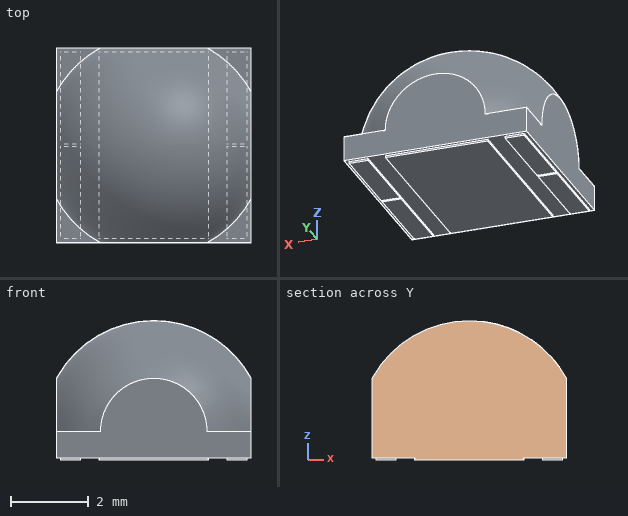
import cadquery as cq

side = 5.0
total_height = 3.58

pad_thickness = 0.05
substrate_thickness = 0.53
cover_thickness = 0.15

pad_length = 4.79
side_pad_width = 0.52
center_pad_width = 2.8
side_pad_slit = 0.06
side_pad_offset = (pad_length - side_pad_width) / 2

base_top = pad_thickness + substrate_thickness + cover_thickness
lens_radius = total_height - base_top


def block(width, length, thickness, bottom, x=0.0):
    """Rectangular block centered on Y, with its bottom face at the given height."""
    return (
        cq.Workplane("XY", origin=(x, 0, bottom))
        .rect(width, length)
        .extrude(thickness)
    )


base = block(side, side, substrate_thickness + cover_thickness, pad_thickness)

sphere = cq.Workplane("XY", origin=(0, 0, base_top)).sphere(lens_radius)
lens = sphere.intersect(block(side, side, lens_radius, base_top))

result = base.union(lens)

result = result.union(block(center_pad_width, pad_length, pad_thickness, 0.0))

slit = block(side, side_pad_slit, pad_thickness, 0.0)
for pad_x in (-side_pad_offset, side_pad_offset):
    side_pad = block(side_pad_width, pad_length, pad_thickness, 0.0, pad_x)
    result = result.union(side_pad.cut(slit))